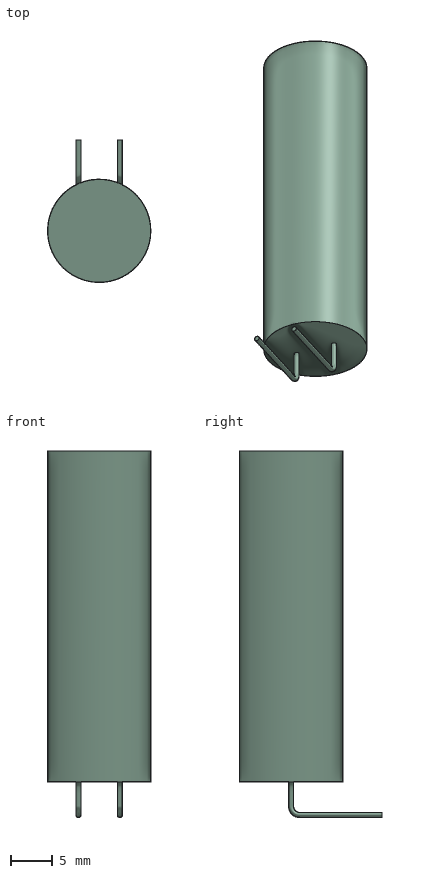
import cadquery as cq

body_diameter = 12.5
overall_height = 44.3
overall_depth = 17.25

lead_diameter = 0.6
lead_spacing = 5.0
lead_drop = 4.0
bend_radius = 1.0

body_height = overall_height - lead_drop - lead_diameter / 2
lead_reach = overall_depth - body_diameter / 2
lead_root = 0.45


def bent_lead(x):
    """Wire lead at the given X: a vertical run, a quarter bend and a horizontal run."""
    path = (
        cq.Workplane("YZ", origin=(x, 0, 0))
        .moveTo(0, lead_root)
        .lineTo(0, bend_radius - lead_drop)
        .radiusArc((bend_radius, -lead_drop), -bend_radius)
        .lineTo(lead_reach, -lead_drop)
    )
    section = cq.Workplane("XY", origin=(x, 0, lead_root)).circle(lead_diameter / 2)
    return section.sweep(path)


result = cq.Workplane("XY").circle(body_diameter / 2).extrude(body_height)
for side in (-1, 1):
    result = result.union(bent_lead(side * lead_spacing / 2))